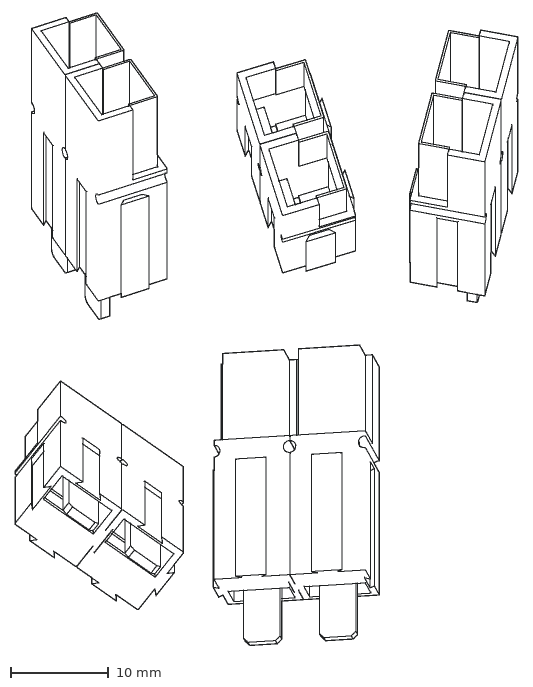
import cadquery as cq


total_height = 29.72
housing_bottom = 5.05
rail_top = 17.75
hole_height = 18.93
ledge_height = 20.12

housing_count = 2
housing_size = 7.85
housing_gap = 0.03
housing_pitch = housing_size + housing_gap
housing_middle = housing_size / 2
wall = 0.75
corner_radius = 0.12
sleeve_radius = 0.1
all_corners = "|Z"
all_but_front_left = "|Z and (>X or >Y)"

sleeve_wall = 0.25
sleeve_overlap = 0.03
cavity_size = housing_size - 2 * wall
sleeve_bottom = ledge_height - wall
floor_height = housing_bottom + wall

rail_depth = 0.53
rail_root = 2.1
rail_tip = rail_root + 2 * rail_depth
rail_length = rail_top - housing_bottom

hole_diameter = 1.28
first_hole_inset = 0.1
hole_places = [first_hole_inset]
hole_places += [number * housing_pitch for number in range(1, housing_count + 1)]

blade_width = 3.8
blade_thickness = 1.0
blade_front = 1.28
blade_chamfer = 0.48
blade_top = ledge_height


def upright_box(width, depth, bottom, top, front):
    """A box centred across the first housing, with its front face at Y = front."""
    return (
        cq.Workplane("XY", origin=(housing_middle, front, bottom))
        .rect(width, depth)
        .extrude(top - bottom)
        .translate((0, depth / 2, 0))
    )


def dovetail(root_x, root_y, turn):
    """A dovetail bar that widens toward +Y before it is turned about its root."""
    outline = [
        (-rail_root / 2, 0),
        (rail_root / 2, 0),
        (rail_tip / 2, rail_depth),
        (-rail_tip / 2, rail_depth),
    ]
    bar = cq.Workplane("XY").polyline(outline).close().extrude(rail_length)
    return bar.rotate((0, 0, 0), (0, 0, 1), turn).translate((root_x, root_y, housing_bottom))


def make_shell(rounded_corners):
    """One hollow socket: square below the ledge, with a thin sleeve at the back above it."""
    shell = upright_box(housing_size, housing_size, housing_bottom, total_height, 0)
    shell = shell.edges(rounded_corners).fillet(corner_radius)

    back_step = upright_box(
        housing_size, housing_middle, ledge_height, total_height, housing_middle
    )
    shell = shell.cut(back_step)

    front_cavity = upright_box(
        cavity_size, housing_middle - wall, housing_bottom, total_height, wall
    )
    back_cavity = upright_box(
        cavity_size, housing_middle - wall, floor_height, total_height, housing_middle
    )
    shell = shell.cut(front_cavity).cut(back_cavity)

    sleeve_front = housing_middle - sleeve_overlap
    sleeve_depth = housing_size - wall - sleeve_front
    sleeve = upright_box(cavity_size, sleeve_depth, sleeve_bottom, total_height, sleeve_front)
    sleeve = sleeve.edges("|Z and >Y").fillet(sleeve_radius)
    sleeve_cavity = upright_box(
        cavity_size - 2 * sleeve_wall,
        sleeve_depth - sleeve_wall,
        sleeve_bottom,
        total_height,
        sleeve_front,
    )
    shell = shell.union(sleeve.cut(sleeve_cavity))

    shell = shell.cut(dovetail(housing_middle, 0, 0))
    return shell.cut(dovetail(0, housing_middle, -90))


def add_rails(shell):
    """Rails on the back and the right side, opposite the grooves."""
    shell = shell.union(dovetail(housing_middle, housing_size, 0))
    return shell.union(dovetail(housing_size, housing_middle, -90))


def make_housing():
    """Both sockets as one solid: the rail between them fills the groove of its neighbour."""
    pair = add_rails(make_shell(all_but_front_left))
    for index in range(1, housing_count):
        socket = add_rails(make_shell(all_corners))
        pair = pair.union(socket.translate((index * housing_pitch, 0, 0)))
    for place in hole_places:
        hole = (
            cq.Workplane("XZ", origin=(place, 0, hole_height))
            .circle(hole_diameter / 2)
            .extrude(-housing_size)
        )
        pair = pair.cut(hole)
    return pair


def make_blade(index):
    """A flat tab with chamfered lower corners."""
    blade = upright_box(blade_width, blade_thickness, 0, blade_top, blade_front)
    blade = blade.edges("|Y and <Z").chamfer(blade_chamfer)
    return blade.translate((index * housing_pitch, 0, 0))


housing = make_housing()
blades = [make_blade(index) for index in range(housing_count)]

result = cq.Compound.makeCompound([housing.val(), *[blade.val() for blade in blades]])